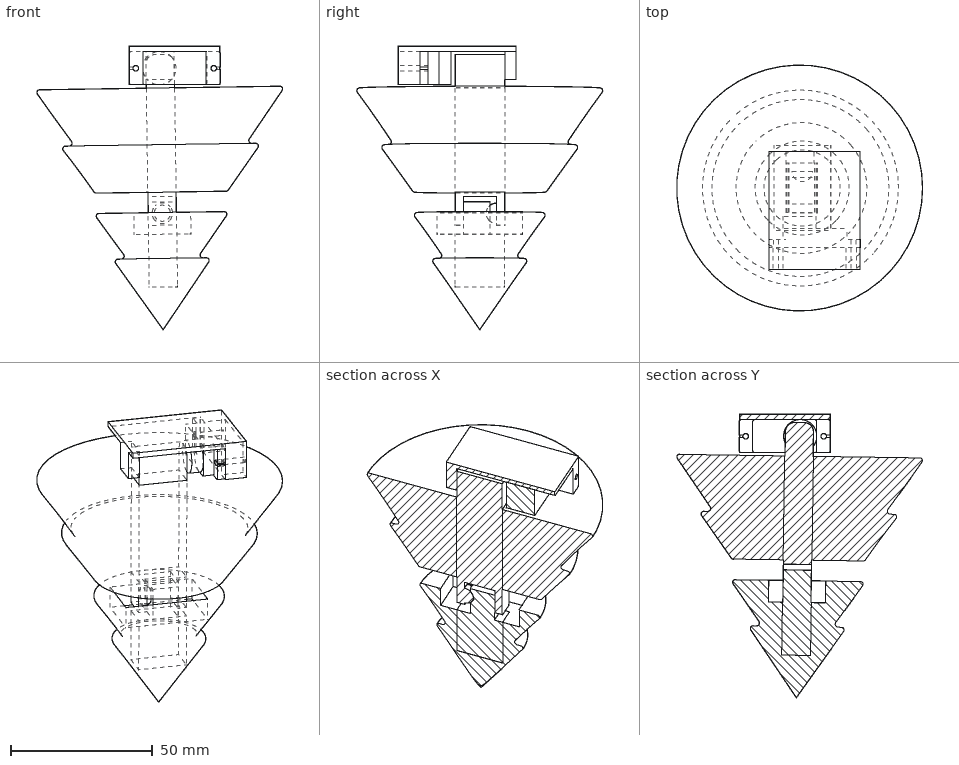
import cadquery as cq

LEAN_ANGLE = 0.85
APEX_X = 1.3

EDGE_ROUND = 1.0
TOP_Z = 85.3
TOP_RADIUS = 44.3
UPPER_STEP_Z = TOP_Z - 20.0
UPPER_NECK_RADIUS = 30.3
UPPER_RING_RADIUS = 35.5
UPPER_BOTTOM_Z = UPPER_STEP_Z - 16.8
UPPER_BOTTOM_RADIUS = 23.4
LOWER_TOP_Z = 41.4
LOWER_TOP_RADIUS = 24.0
LOWER_STEP_Z = 25.2
LOWER_NECK_RADIUS = 12.5
LOWER_RING_RADIUS = 17.5

ARM_X = 0.3
ARM_Y = 0.1
ARM_WIDTH = 10.0
ARM_DEPTH = 17.5
ARM_TOP_Z = 97.1
ARM_TOP_ROUND = 3.3
FORK_GAP = 11.5
FORK_TOP_Z = 47.0
LOWER_PIVOT_Z = 41.1
ARM_BOTTOM_Z = LOWER_PIVOT_Z - 4.2
KNOB_RADIUS = 3.6

RECESS_LENGTH_X = 20.0
RECESS_LENGTH_Y = 30.0
RECESS_FLOOR_Z = 33.7
TONGUE_TOP_Z = 45.1
TONGUE_BOTTOM_Z = 15.1
TONGUE_STEM_DEPTH = 9.3

BRACKET_LEFT_X = -10.7
BRACKET_WIDTH = 32.0
BRACKET_TOP_Z = 100.0
PLATE_THICKNESS = 1.9
REAR_LEG_THICKNESS = 4.0
REAR_LEG_HEIGHT = 11.8
FRONT_LEG_WIDTH = 4.9
FRONT_LEG_DEPTH = 7.8
REAR_LEG_X = 0.2
SCREW_Z = 92.2
SCREW_DIAMETER = 1.9
SCREW_SPACING = 27.5

SERVO_X = 5.4
SERVO_HEIGHT = 11.7
CASE_LENGTH = 22.6
EAR_LENGTH = 32.2
EAR_THICKNESS = 2.8
CASE_THICKNESS = 3.9
GEARBOX_LENGTH = 4.2
SERVO_CORNER_ROUND = 0.9
EAR_SLIT_HEIGHT = 1.0

ARM_REAR_Y = ARM_Y + ARM_DEPTH / 2
ARM_FRONT_Y = ARM_Y - ARM_DEPTH / 2
FORK_GAP_REAR_Y = ARM_Y + FORK_GAP / 2
FORK_GAP_FRONT_Y = ARM_Y - FORK_GAP / 2
BRACKET_REAR_Y = ARM_REAR_Y + REAR_LEG_THICKNESS
PLATE_BOTTOM_Z = BRACKET_TOP_Z - PLATE_THICKNESS
SERVO_BOTTOM_Z = PLATE_BOTTOM_Z - SERVO_HEIGHT
SERVO_REAR_Y = -21.0
BRACKET_FRONT_Y = SERVO_REAR_Y - FRONT_LEG_DEPTH
SCREW_XS = [SERVO_X - SCREW_SPACING / 2, SERVO_X + SCREW_SPACING / 2]


def box_between(x0, x1, y0, y1, z0, z1):
    return cq.Workplane("XY").box(x1 - x0, y1 - y0, z1 - z0, centered=False).translate((x0, y0, z0))


def arm_block(width, y0, y1, z0, z1):
    """Box centred on the arm in X."""
    return box_between(ARM_X - width / 2, ARM_X + width / 2, y0, y1, z0, z1)


def y_cylinder(x, z, y0, y1, diameter):
    """Cylinder along Y, from y0 to y1."""
    return (
        cq.Workplane("XZ", origin=(x, y0, z))
        .circle(diameter / 2)
        .extrude(-(y1 - y0))
    )


def lean(body):
    """Tip an upright body into the hanging pose."""
    return body.rotate((0, 0, 0), (0, 1, 0), -LEAN_ANGLE).translate((APEX_X, 0, 0))


def turned(outline):
    """Revolve an (r, z) outline about Z and round all its circular edges."""
    solid = cq.Workplane("XZ").polyline(outline).close().revolve(360, (0, 0), (0, 1))
    return solid.edges("%CIRCLE").fillet(EDGE_ROUND)


def make_upper_cone():
    cone = turned([
        (0, TOP_Z),
        (TOP_RADIUS, TOP_Z),
        (UPPER_NECK_RADIUS, UPPER_STEP_Z),
        (UPPER_RING_RADIUS, UPPER_STEP_Z),
        (UPPER_BOTTOM_RADIUS, UPPER_BOTTOM_Z),
        (0, UPPER_BOTTOM_Z),
    ])
    arm_hole = arm_block(ARM_WIDTH, ARM_FRONT_Y, ARM_REAR_Y, UPPER_BOTTOM_Z, TOP_Z)
    return lean(cone.cut(arm_hole))


def tongue_foot():
    """Foot of the tongue, which also cuts its socket in the lower cone."""
    return arm_block(
        ARM_WIDTH, -ARM_DEPTH / 2, ARM_DEPTH / 2, TONGUE_BOTTOM_Z, RECESS_FLOOR_Z
    )


def make_lower_cone():
    cone = turned([
        (0, LOWER_TOP_Z),
        (LOWER_TOP_RADIUS, LOWER_TOP_Z),
        (LOWER_NECK_RADIUS, LOWER_STEP_Z),
        (LOWER_RING_RADIUS, LOWER_STEP_Z),
        (0, 0),
    ])
    recess = arm_block(
        RECESS_LENGTH_X, -RECESS_LENGTH_Y / 2, RECESS_LENGTH_Y / 2, RECESS_FLOOR_Z, LOWER_TOP_Z
    )
    return lean(cone.cut(recess).cut(tongue_foot()))


def knob_ball():
    return cq.Workplane("XY").sphere(KNOB_RADIUS).translate((ARM_X, FORK_GAP_REAR_Y, LOWER_PIVOT_Z))


def make_arm():
    """Post with a rounded top, a fork below and a knob inside one fork leg."""
    post = arm_block(ARM_WIDTH, ARM_FRONT_Y, ARM_REAR_Y, ARM_BOTTOM_Z, ARM_TOP_Z)
    post = post.faces(">Z").edges("|Y").fillet(ARM_TOP_ROUND)
    gap = arm_block(ARM_WIDTH, FORK_GAP_FRONT_Y, FORK_GAP_REAR_Y, ARM_BOTTOM_Z, FORK_TOP_Z)
    knob = knob_ball().intersect(gap)
    return lean(post.cut(gap).union(knob))


def make_tongue():
    """Stem between the fork legs, dimpled for the knob, on a foot in the socket."""
    stem = arm_block(
        ARM_WIDTH, FORK_GAP_FRONT_Y, FORK_GAP_FRONT_Y + TONGUE_STEM_DEPTH, RECESS_FLOOR_Z, TONGUE_TOP_Z
    )
    return lean(tongue_foot().union(stem.cut(knob_ball())))


def make_bracket():
    right_x = BRACKET_LEFT_X + BRACKET_WIDTH
    bracket = box_between(
        BRACKET_LEFT_X, right_x, BRACKET_FRONT_Y, BRACKET_REAR_Y, PLATE_BOTTOM_Z, BRACKET_TOP_Z
    )
    rear_leg = box_between(
        REAR_LEG_X - ARM_WIDTH / 2, REAR_LEG_X + ARM_WIDTH / 2, ARM_REAR_Y, BRACKET_REAR_Y,
        BRACKET_TOP_Z - REAR_LEG_HEIGHT, BRACKET_TOP_Z,
    )
    bracket = bracket.union(rear_leg)
    for leg_x in [BRACKET_LEFT_X, right_x - FRONT_LEG_WIDTH]:
        bracket = bracket.union(box_between(
            leg_x, leg_x + FRONT_LEG_WIDTH, BRACKET_FRONT_Y, SERVO_REAR_Y, SERVO_BOTTOM_Z, BRACKET_TOP_Z
        ))
    for screw_x in SCREW_XS:
        bracket = bracket.cut(
            y_cylinder(screw_x, SCREW_Z, BRACKET_FRONT_Y, SERVO_REAR_Y, SCREW_DIAMETER)
        )
    return bracket


def servo_slab(length, y0, y1):
    """Slab centred on the servo, its edges along Y rounded."""
    slab = box_between(
        SERVO_X - length / 2, SERVO_X + length / 2, y0, y1, SERVO_BOTTOM_Z, PLATE_BOTTOM_Z
    )
    return slab.edges("|Y").fillet(SERVO_CORNER_ROUND)


def make_servo():
    ear_front_y = SERVO_REAR_Y + EAR_THICKNESS
    case_front_y = ear_front_y + CASE_THICKNESS
    gearbox_x = SERVO_X - CASE_LENGTH / 2 + SERVO_HEIGHT / 2
    gearbox_z = SERVO_BOTTOM_Z + SERVO_HEIGHT / 2
    servo = servo_slab(EAR_LENGTH, SERVO_REAR_Y, ear_front_y)
    half_slit = EAR_SLIT_HEIGHT / 2
    for screw_x, side in zip(SCREW_XS, [-1, 1]):
        end_x = SERVO_X + side * EAR_LENGTH / 2
        slit = box_between(
            min(screw_x, end_x), max(screw_x, end_x), SERVO_REAR_Y, ear_front_y,
            SCREW_Z - half_slit, SCREW_Z + half_slit,
        )
        hole = y_cylinder(screw_x, SCREW_Z, SERVO_REAR_Y, ear_front_y, SCREW_DIAMETER)
        servo = servo.cut(hole).cut(slit)
    case = servo_slab(CASE_LENGTH, ear_front_y, case_front_y)
    gearbox = y_cylinder(
        gearbox_x, gearbox_z, case_front_y, case_front_y + GEARBOX_LENGTH, SERVO_HEIGHT
    )
    return servo.union(case).union(gearbox)


upper_cone = make_upper_cone()
lower_cone = make_lower_cone()
arm = make_arm()
tongue = make_tongue()
bracket = make_bracket()
servo = make_servo()

result = cq.Compound.makeCompound([
    upper_cone.val(),
    lower_cone.val(),
    arm.val(),
    tongue.val(),
    bracket.val(),
    servo.val(),
])